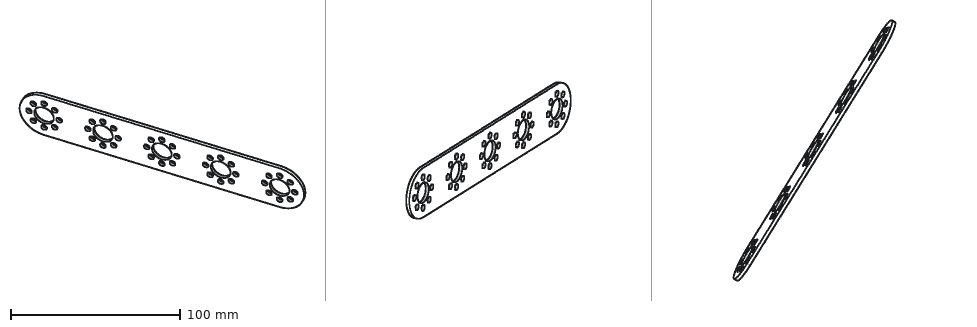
import cadquery as cq

length = 184.2
width = 31.7
thickness = 2.2

group_count = 5
group_pitch = (length - width) / (group_count - 1)
bore_diameter = 12.7
bolt_circle_radius = 9.8
bolt_hole_diameter = 3.7
bolt_holes_per_group = 8


def bar_blank():
    """Rounded bar centred on the origin."""
    return cq.Workplane("XZ").slot2D(length, width).extrude(thickness / 2, both=True)


def hole_group(x):
    """Cutter for one central bore and its ring of bolt holes."""
    centre = cq.Workplane("XZ").center(x, 0)
    bore = centre.circle(bore_diameter / 2).extrude(thickness, both=True)
    bolt_holes = (
        centre.polarArray(bolt_circle_radius, 0, 360, bolt_holes_per_group)
        .circle(bolt_hole_diameter / 2)
        .extrude(thickness, both=True)
    )
    return bore.add(bolt_holes).combine()


result = bar_blank()
for index in range(group_count):
    group_x = (index - (group_count - 1) / 2) * group_pitch
    result = result.cut(hole_group(group_x))